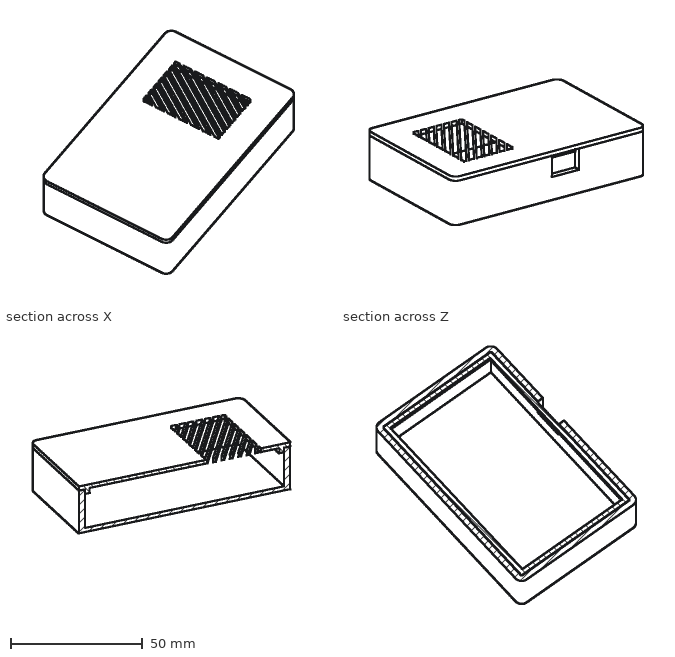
import cadquery as cq
import math

width = 58.0
length = 89.0
height = 20.0
corner_radius = 6.0 / 2

lid_thickness = 1.8
box_height = height - lid_thickness
wall = 2.8
floor_thickness = 2.0
inner_width = width - 2 * wall
inner_length = length - 2 * wall

port_width = 12.55
port_depth = 8.7
port_center_y = -7.3

lip_height = 2.1
lip_thickness = 2.0

grille_width = 34.5
grille_length = 23.0
grille_center = (-0.6, 20.5)
slot_width = 2.0
bar_width = 1.0
bar_pitch = slot_width + bar_width
diagonal = math.hypot(grille_width, grille_length)
diagonal_angle = math.degrees(math.atan2(grille_length, grille_width))


def make_box():
    """Open-topped box with rounded outer corners and a port notch in the -X wall."""
    box = (
        cq.Workplane("XY")
        .rect(width, length)
        .extrude(box_height)
        .edges("|Z")
        .fillet(corner_radius)
    )
    cavity = (
        cq.Workplane("XY", origin=(0, 0, floor_thickness))
        .rect(inner_width, inner_length)
        .extrude(box_height - floor_thickness)
    )
    port = (
        cq.Workplane("XY", origin=(-width / 2 + wall / 2, port_center_y, box_height - port_depth))
        .rect(wall, port_width)
        .extrude(port_depth)
    )
    return box.cut(cavity).cut(port)


def make_grille_openings():
    """Slots left between the diagonal bars; one slot lies on the diagonal itself."""
    openings = (
        cq.Workplane("XY", origin=(*grille_center, box_height))
        .rect(grille_width, grille_length)
        .extrude(lid_thickness)
    )
    reach = grille_width * grille_length / diagonal
    bars_per_side = math.ceil(reach / bar_pitch)
    bar_offsets = [(0, (i + 0.5) * bar_pitch) for i in range(-bars_per_side, bars_per_side)]
    bars = (
        cq.Workplane("XY", origin=(*grille_center, box_height))
        .transformed(rotate=(0, 0, -diagonal_angle))
        .pushPoints(bar_offsets)
        .rect(2 * diagonal, bar_width)
        .extrude(lid_thickness)
    )
    return openings.cut(bars)


def make_lid():
    """Flat lid with a grille and a locating lip on its underside."""
    plate = (
        cq.Workplane("XY", origin=(0, 0, box_height))
        .rect(width, length)
        .extrude(lid_thickness)
        .edges("|Z")
        .fillet(corner_radius)
    )
    lip = (
        cq.Workplane("XY", origin=(0, 0, box_height - lip_height))
        .rect(inner_width, inner_length)
        .rect(inner_width - 2 * lip_thickness, inner_length - 2 * lip_thickness)
        .extrude(lip_height)
    )
    return plate.union(lip).cut(make_grille_openings())


box = make_box()
lid = make_lid()

result = cq.Compound.makeCompound([box.solids().val(), lid.solids().val()])